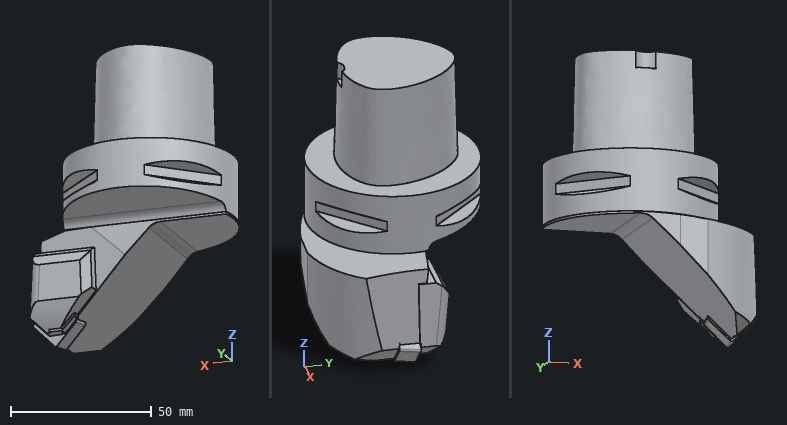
import cadquery as cq
import math


SHANK_HEIGHT = 38.0
SHANK_RADIUS = 22.1
SHANK_TAPER = 0.025
LOBE_HEIGHT = 1.5
LOBES = 3
LOBE_POINTS = 48
KEY_RADIUS = 4.8
KEY_CENTER_Y = -22.5
KEY_DEPTH = 6.2

FLANGE_DIAMETER = 63.0
FLANGE_RADIUS = FLANGE_DIAMETER / 2
FLANGE_HEIGHT = 22.9
SLOT_COUNT = 4
SLOT_FLOOR_RADIUS = 27.7
SLOT_Z = -12.0
SLOT_FLOOR_HEIGHT = 3.7
SLOT_MOUTH_HEIGHT = 7.7
RELIEF_Z_INNER = -20.1
RELIEF_Z_OUTER = -18.0
RELIEF_FILLET = 3.7

LIP_HEIGHT = 0.9
LIP_RADIUS = FLANGE_RADIUS + 0.1
ARM_BACK_Y = 6.0
ARM_FRONT_Y = -35.5
ARM_START_X = -15.3
ARM_BLEND_POINT = (-4.4, -32.5)
ARM_FLAT_X = (8.2, 18.4)
ARM_SWEEP_POINT = (34.5, -26.6)
ARM_SWEEP_END_Y = -13.8
ARM_TIP_X = 35.2
ARM_TIP_Z = -62.4
ARM_NOSE_X = 43.0
ARM_TOP_X = 40.1
ARM_FILLET = 6.1
SHOULDER_SLOPE = 0.28
BEVEL_Y = (-30.6, -14.9)
BEVEL_Z = (-57.1, ARM_TIP_Z)
REACH = 51.1
DEEP = -81.7

RAKE_X = 0.1
RAKE_Z = -0.11
RAKE_NORMAL = (RAKE_X, 1, RAKE_Z)
RAKE_POINT = (28.4, 1.6, -55.6)

INSERT_SIDE = 12.7
INSERT_THICKNESS = 7.8
INSERT_CORNER = 0.8
INSERT_TIP_X = 36.2
INSERT_TIP_Z = -64.5

BOSS_LEFT_X = 19.4
BOSS_OVERHANG = 0.6
BOSS_CORNER = 4.1
BOSS_CHAMFER = 3.1
BOSS_TOP_Z = -30.6
BOSS_STEP_Y = 6.3
BOSS_SHOULDER = (9.2, -32.6)
BOSS_CREST = (12.0, -36.8)
BOSS_HEEL = (10.5, -49.9)
BOSS_NOSE_MIDDLE = (7.9, -55.1)
BOSS_NOSE_END = (3.9, -60.0)
NOSE_OVERHANG = 0.6
NOSE_X = (27.2, 36.8)
NOSE_Y = (1.2, 4.8)
NOSE_Z = (-60.0, -53.0)


def rake_y(x, z):
    """Height in Y of the rake plane at a given X and Z."""
    return RAKE_POINT[1] - RAKE_X * (x - RAKE_POINT[0]) - RAKE_Z * (z - RAKE_POINT[2])


def lobed_outline(z):
    """Three-lobed curve of constant width, with one lobe toward +Y."""
    mean = SHANK_RADIUS - SHANK_TAPER * z
    points = []
    for i in range(LOBE_POINTS):
        angle = 2 * math.pi * i / LOBE_POINTS
        phase = LOBES * (angle - math.pi / 2)
        out = mean + LOBE_HEIGHT * math.cos(phase)
        along = -LOBES * LOBE_HEIGHT * math.sin(phase)
        x = out * math.cos(angle) - along * math.sin(angle)
        y = out * math.sin(angle) + along * math.cos(angle)
        points.append(cq.Vector(x, y, z))
    return cq.Wire.assembleEdges([cq.Edge.makeSpline(points, periodic=True)])


def make_shank():
    shank = cq.Workplane(cq.Solid.makeLoft([lobed_outline(0), lobed_outline(SHANK_HEIGHT)], True))
    key = (
        cq.Workplane("XY", origin=(0, KEY_CENTER_Y, SHANK_HEIGHT - KEY_DEPTH))
        .circle(KEY_RADIUS)
        .extrude(KEY_DEPTH)
    )
    return shank.cut(key)


def make_flange():
    flange = cq.Workplane("XY").circle(FLANGE_RADIUS).extrude(-FLANGE_HEIGHT)

    flare = (SLOT_MOUTH_HEIGHT - SLOT_FLOOR_HEIGHT) / 2
    mouth = FLANGE_RADIUS
    floor_half = SLOT_FLOOR_HEIGHT / 2
    mouth_half = floor_half + flare
    slot = (
        cq.Workplane("XZ")
        .moveTo(SLOT_FLOOR_RADIUS, SLOT_Z - floor_half)
        .lineTo(mouth, SLOT_Z - mouth_half)
        .lineTo(mouth, SLOT_Z + mouth_half)
        .lineTo(SLOT_FLOOR_RADIUS, SLOT_Z + floor_half)
        .close()
        .extrude(FLANGE_RADIUS, both=True)
    )
    step = 360 / SLOT_COUNT
    for i in range(SLOT_COUNT):
        flange = flange.cut(slot.rotate((0, 0, 0), (0, 0, 1), step * (i + 0.5)))

    relief = (
        cq.Workplane("YZ")
        .moveTo(ARM_BACK_Y, DEEP)
        .lineTo(ARM_BACK_Y, RELIEF_Z_INNER)
        .lineTo(FLANGE_RADIUS, RELIEF_Z_OUTER)
        .lineTo(FLANGE_RADIUS, DEEP)
        .close()
        .extrude(REACH, both=True)
        .edges(cq.selectors.NearestToPointSelector((0, ARM_BACK_Y, RELIEF_Z_INNER)))
        .fillet(RELIEF_FILLET)
    )
    return flange.cut(relief)


def arm_plan():
    """Arm outline seen along Z: flange circle blending into the swept front."""
    start = (ARM_START_X, -math.sqrt(LIP_RADIUS**2 - ARM_START_X**2))
    back_x = -math.sqrt(LIP_RADIUS**2 - ARM_BACK_Y**2)
    middle = (-LIP_RADIUS * math.cos(math.pi / 6), -LIP_RADIUS * math.sin(math.pi / 6))
    return (
        cq.Workplane("XY", origin=(0, 0, DEEP))
        .moveTo(back_x, ARM_BACK_Y)
        .threePointArc(middle, start)
        .threePointArc(ARM_BLEND_POINT, (ARM_FLAT_X[0], ARM_FRONT_Y))
        .lineTo(ARM_FLAT_X[1], ARM_FRONT_Y)
        .threePointArc(ARM_SWEEP_POINT, (ARM_NOSE_X, ARM_SWEEP_END_Y))
        .lineTo(REACH, ARM_SWEEP_END_Y)
        .lineTo(REACH, ARM_BACK_Y)
        .close()
        .extrude(-DEEP)
    )


def arm_elevation():
    """Arm outline seen along Y: lip, 45 degree underside and right face."""
    lip_z = -FLANGE_HEIGHT - LIP_HEIGHT
    elbow_x = ARM_TIP_X - (lip_z - ARM_TIP_Z)
    nose_z = ARM_TIP_Z + ARM_NOSE_X - ARM_TIP_X
    return (
        cq.Workplane("XZ")
        .moveTo(-REACH, -FLANGE_HEIGHT)
        .lineTo(ARM_TOP_X, -FLANGE_HEIGHT)
        .lineTo(ARM_NOSE_X, nose_z)
        .lineTo(ARM_TIP_X, ARM_TIP_Z)
        .lineTo(elbow_x, lip_z)
        .lineTo(-REACH, lip_z)
        .close()
        .extrude(REACH, both=True)
        .edges(cq.selectors.NearestToPointSelector((elbow_x, 0, lip_z)))
        .fillet(ARM_FILLET)
    )


def arm_shoulder():
    """Everything below the conical shoulder that falls away from the flange."""
    outer = FLANGE_RADIUS + REACH
    return (
        cq.Workplane("XZ")
        .moveTo(0, -FLANGE_HEIGHT)
        .lineTo(FLANGE_RADIUS, -FLANGE_HEIGHT)
        .lineTo(outer, -FLANGE_HEIGHT - SHOULDER_SLOPE * REACH)
        .lineTo(outer, DEEP)
        .lineTo(0, DEEP)
        .close()
        .revolve(360, (0, 0, 0), (0, 1, 0))
    )


def make_arm():
    arm = arm_plan().intersect(arm_elevation()).intersect(arm_shoulder())

    slope = (BEVEL_Z[1] - BEVEL_Z[0]) / (BEVEL_Y[1] - BEVEL_Y[0])
    bevel = (
        cq.Workplane("YZ")
        .moveTo(-REACH, BEVEL_Z[0] + slope * (-REACH - BEVEL_Y[0]))
        .lineTo(BEVEL_Y[1], BEVEL_Z[1])
        .lineTo(BEVEL_Y[1], DEEP)
        .lineTo(-REACH, DEEP)
        .close()
        .extrude(REACH)
    )

    rake = cq.Workplane(cq.Plane(RAKE_POINT, xDir=(1, -RAKE_X, 0), normal=RAKE_NORMAL))
    above_rake = rake.rect(4 * REACH, 4 * REACH).extrude(REACH)
    return arm.cut(bevel).cut(above_rake)


def make_clamp_boss():
    ridge = (
        cq.Workplane("YZ", origin=(BOSS_LEFT_X, 0, 0))
        .moveTo(0, BOSS_TOP_Z)
        .lineTo(BOSS_STEP_Y, BOSS_TOP_Z)
        .lineTo(*BOSS_SHOULDER)
        .lineTo(*BOSS_CREST)
        .lineTo(*BOSS_HEEL)
        .threePointArc(BOSS_NOSE_MIDDLE, BOSS_NOSE_END)
        .lineTo(0, BOSS_NOSE_END[1])
        .close()
        .extrude(ARM_NOSE_X + BOSS_OVERHANG - BOSS_LEFT_X)
    )
    bounds = arm_elevation().translate((BOSS_OVERHANG, 0, 0))
    boss = ridge.intersect(bounds)
    crest_y = (BOSS_CREST[0] + BOSS_HEEL[0]) / 2
    crest_z = (BOSS_CREST[1] + BOSS_HEEL[1]) / 2
    right_edge = cq.selectors.NearestToPointSelector((ARM_NOSE_X, crest_y, crest_z))
    left_edge = cq.selectors.NearestToPointSelector((BOSS_LEFT_X, crest_y, crest_z))
    return boss.edges(right_edge).fillet(BOSS_CORNER).edges(left_edge).chamfer(BOSS_CHAMFER)


def make_clamp_nose():
    """Small block resting on the insert, trimmed close to the underside of the arm."""
    size = (NOSE_X[1] - NOSE_X[0], NOSE_Y[1] - NOSE_Y[0], NOSE_Z[1] - NOSE_Z[0])
    block = cq.Workplane("XY").box(*size, centered=False).translate((NOSE_X[0], NOSE_Y[0], NOSE_Z[0]))
    return block.intersect(arm_elevation().translate((0, 0, -NOSE_OVERHANG)))


def make_insert():
    """Square insert standing on one corner, its top face in the rake plane."""
    tip = (INSERT_TIP_X, rake_y(INSERT_TIP_X, INSERT_TIP_Z), INSERT_TIP_Z)
    edge_direction = (1, -RAKE_X - RAKE_Z, 1)
    return (
        cq.Workplane(cq.Plane(tip, xDir=edge_direction, normal=RAKE_NORMAL))
        .center(INSERT_SIDE / 2, -INSERT_SIDE / 2)
        .rect(INSERT_SIDE, INSERT_SIDE)
        .extrude(-INSERT_THICKNESS)
        .edges(cq.selectors.ParallelDirSelector(cq.Vector(*RAKE_NORMAL)))
        .fillet(INSERT_CORNER)
    )


insert = make_insert()
holder = (
    make_flange()
    .union(make_shank())
    .union(make_arm())
    .union(make_clamp_boss())
    .union(make_clamp_nose())
    .cut(insert)
)

result = cq.Compound.makeCompound([holder.val(), insert.val()])